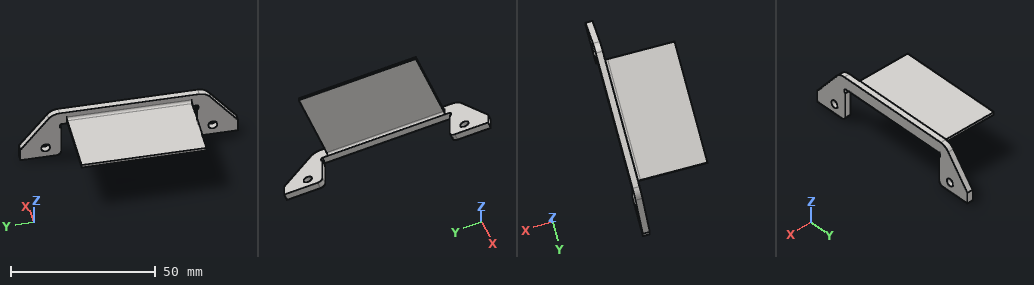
import cadquery as cq

total_depth = 27.5
total_width = 76.8
total_height = 19.0

plate_thickness = 2.5
half_width = total_width / 2
outer_edge_height = 4.8
half_top_width = 27.0
shoulder_radius = 5.0
half_opening = 24.0
crossbar_height = 5.1
opening_top = total_height - crossbar_height
foot_radius = 1.85

relief_radius = 0.9
relief_inset = 0.4

hole_diameter = 3.1
hole_offset = 29.5
hole_height = 4.1

shelf_width = 44.1
shelf_thickness = 1.2
shelf_length = total_depth - plate_thickness
root_radius = 0.9
shelf_bottom = opening_top + root_radius
shelf_top = shelf_bottom + shelf_thickness


def cross_cylinder(radius, y, z):
    """Cylinder along X through the full plate thickness."""
    return cq.Workplane("YZ").center(y, z).circle(radius).extrude(plate_thickness)


def make_plate():
    """Sloped-shoulder bracket with an open-bottomed rectangular opening."""
    plate = (
        cq.Workplane("YZ")
        .moveTo(-half_width, 0)
        .lineTo(-half_width, outer_edge_height)
        .lineTo(-half_top_width, total_height)
        .lineTo(half_top_width, total_height)
        .lineTo(half_width, outer_edge_height)
        .lineTo(half_width, 0)
        .close()
        .extrude(plate_thickness)
        .edges("|X and >Z").fillet(shoulder_radius)
    )
    opening = (
        cq.Workplane("XY")
        .box(plate_thickness, 2 * half_opening, opening_top, centered=(False, True, False))
    )
    plate = plate.cut(opening)
    foot_corners = cq.selectors.BoxSelector(
        (-0.8, -half_opening - 0.8, -0.8), (plate_thickness + 0.8, half_opening + 0.8, 0.8)
    )
    plate = plate.edges("|X").edges(foot_corners).fillet(foot_radius)
    for side in (-1, 1):
        relief_y = side * (half_opening - relief_inset)
        plate = plate.cut(cross_cylinder(relief_radius, relief_y, opening_top - relief_radius))
        plate = plate.cut(cross_cylinder(hole_diameter / 2, side * hole_offset, hole_height))
    return plate


def make_shelf():
    """Thin shelf reaching toward -X, flared by concave fillets where it meets the plate."""
    return (
        cq.Workplane("XZ")
        .moveTo(-shelf_length, shelf_bottom)
        .lineTo(-root_radius, shelf_bottom)
        .radiusArc((0, shelf_bottom - root_radius), root_radius)
        .lineTo(0, shelf_top + root_radius)
        .radiusArc((-root_radius, shelf_top), root_radius)
        .lineTo(-shelf_length, shelf_top)
        .close()
        .extrude(shelf_width / 2, both=True)
    )


result = make_plate().union(make_shelf())